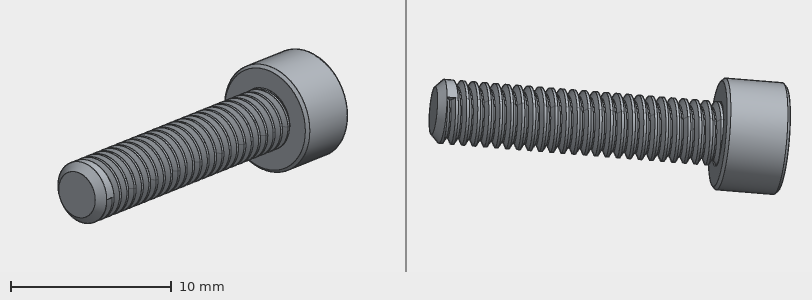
import cadquery as cq
import math


total_length = 22.0

head_diameter = 7.0
head_length = 4.0
head_chamfer = 0.2

shank_diameter = 4.0
shank_length = total_length - head_length
tip_chamfer = 0.5

thread_start = 0.77
turns_to_head = 24.6
thread_turns = 25
pitch = (shank_length - thread_start) / turns_to_head
crest_width = pitch / 4
root_width = pitch / 8
flank_slope = math.tan(math.radians(30))
groove_depth = (pitch - crest_width - root_width) / 2 / flank_slope

cutter_overlap = 0.02
turns_per_cut = 3

joint_tolerance = 0.001


def make_shank():
    """Plain cylinder with a chamfered tip."""
    cylinder = cq.Workplane("XY").circle(shank_diameter / 2).extrude(shank_length)
    return cylinder.faces("<Z").chamfer(tip_chamfer)


def make_groove_cutter():
    """Trapezoid with sloping flanks, standing proud of the shank, swept along the first stretch of helix."""
    root_radius = shank_diameter / 2 - groove_depth
    outer_radius = shank_diameter / 2 + cutter_overlap
    root_half = root_width / 2
    outer_half = (pitch - crest_width) / 2 + cutter_overlap * flank_slope

    helix = cq.Wire.makeHelix(pitch, turns_per_cut * pitch, root_radius, cq.Vector(0, 0, thread_start))
    profile = (
        cq.Workplane("XZ")
        .moveTo(root_radius, thread_start - root_half)
        .lineTo(outer_radius, thread_start - outer_half)
        .lineTo(outer_radius, thread_start + outer_half)
        .lineTo(root_radius, thread_start + root_half)
        .close()
    )
    return profile.sweep(cq.Workplane(helix), isFrenet=True)


def make_head():
    """Cylindrical head with both rims chamfered."""
    return (
        cq.Workplane("XY", origin=(0, 0, shank_length))
        .circle(head_diameter / 2)
        .extrude(head_length)
        .edges("%CIRCLE")
        .chamfer(head_chamfer)
    )


def cut_stretch(body, start_turn):
    """Cut one stretch of the groove, beginning the given number of turns along the thread."""
    return body.cut(groove_cutter.translate((0, 0, start_turn * pitch)))


groove_cutter = make_groove_cutter()

shank = make_shank()
for turn in range(0, thread_turns, turns_per_cut):
    shank = cut_stretch(shank, turn)

head = cut_stretch(make_head(), thread_turns - turns_per_cut)

screw = shank.union(head, tol=joint_tolerance)
result = screw.rotate((0, 0, 0), (1, 0, 0), -90)